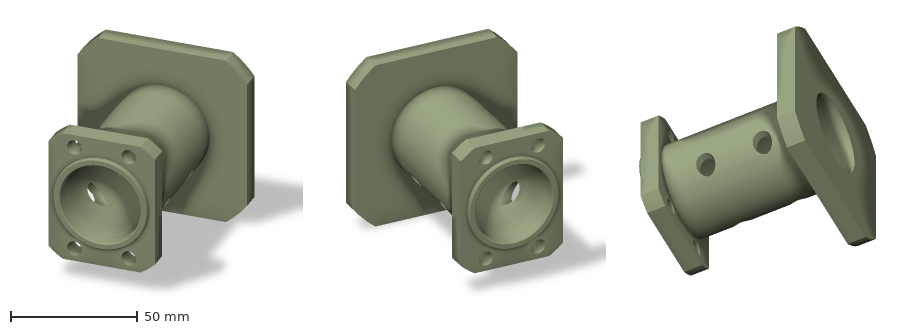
import cadquery as cq

length = 77.0
tube_diameter = 40.0
bore_diameter = 34.0
edge_chamfer = 0.5

flange_thickness = 8.0
large_side = 72.0
large_corner_diameter = 90.0
small_width = 45.1
small_height = 56.0
small_corner_diameter = 65.0
lip_length = 2.0

bolt_diameter = 6.2
bolt_spacing_x = 23.1
bolt_spacing_z = 45.1

cross_diameter = 8.0
cross_drop = 11.0
first_cross_distance = 24.0
cross_spacing = 25.0

small_back = length - lip_length - flange_thickness


def section(distance):
    """Workplane at a distance from the back face, extruding toward -Y."""
    return cq.Workplane("XZ", origin=(0, -distance, 0))


def flange(width, height, corner_diameter, distance):
    plate = section(distance).rect(width, height).extrude(flange_thickness)
    disc = section(distance).circle(corner_diameter / 2).extrude(flange_thickness)
    return plate.intersect(disc)


tube = section(0).circle(tube_diameter / 2).extrude(length)
tube = tube.faces("<Y").chamfer(edge_chamfer)

large_flange = flange(large_side, large_side, large_corner_diameter, 0)
small_flange = flange(small_width, small_height, small_corner_diameter, small_back)
bolt_holes = (
    section(small_back)
    .rect(bolt_spacing_x, bolt_spacing_z, forConstruction=True)
    .vertices()
    .circle(bolt_diameter / 2)
    .extrude(flange_thickness)
)
small_flange = small_flange.cut(bolt_holes)

body = tube.union(large_flange).union(small_flange)

bore = section(0).circle(bore_diameter / 2).extrude(length)
bore_mouth = (
    section(length)
    .circle(bore_diameter / 2 + edge_chamfer)
    .workplane(offset=-edge_chamfer)
    .circle(bore_diameter / 2)
    .loft()
)
body = body.cut(bore).cut(bore_mouth)

cross_holes = (
    cq.Workplane("YZ")
    .pushPoints([(-first_cross_distance - i * cross_spacing, -cross_drop) for i in range(2)])
    .circle(cross_diameter / 2)
    .extrude(tube_diameter / 2, both=True)
)
result = body.cut(cross_holes)